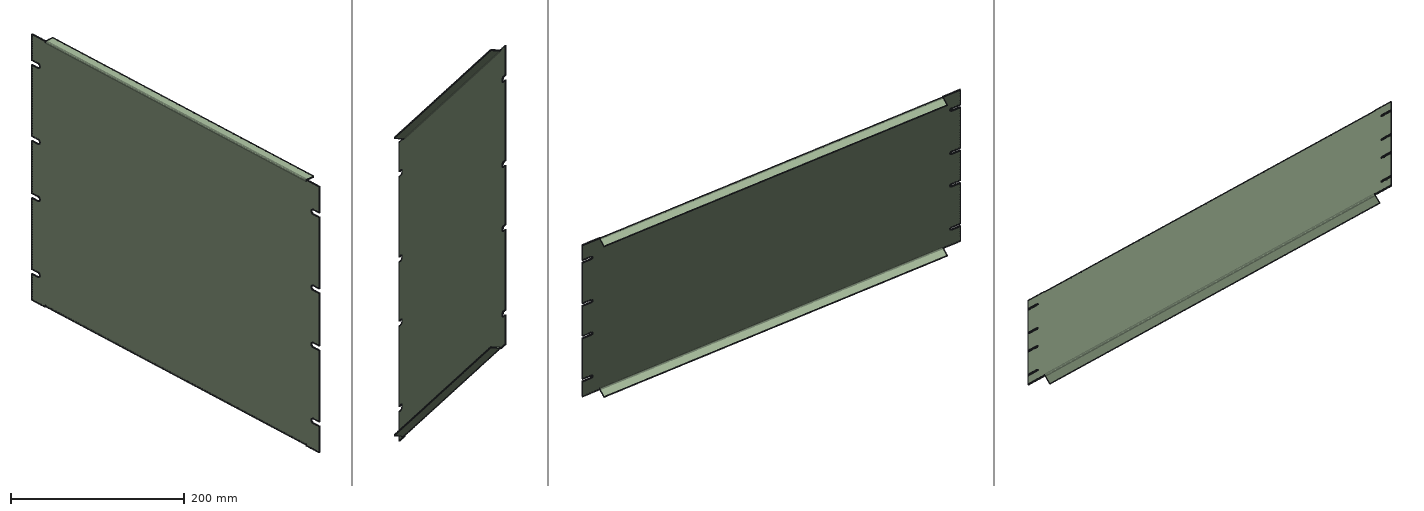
import cadquery as cq

panel_width = 482.5
panel_height = 354.5
sheet_thickness = 1.35

flange_width = 438.0
overall_depth = 12.5
bend_outer_radius = 2.0
bend_inner_radius = bend_outer_radius - sheet_thickness

slot_depth = 13.5
slot_width = 6.5
slot_heights = (38.0, 139.5)

front_y = -overall_depth / 2


def make_bent_body():
    """Channel section: a web with a rounded flange at the top and bottom."""
    outer = (
        cq.Workplane("XY")
        .box(flange_width, overall_depth, panel_height)
        .edges("|X and <Y")
        .fillet(bend_outer_radius)
    )
    inner = (
        cq.Workplane("XY")
        .box(flange_width, overall_depth, panel_height - 2 * sheet_thickness)
        .translate((0, sheet_thickness, 0))
        .edges("|X and <Y")
        .fillet(bend_inner_radius)
    )
    return outer.cut(inner)


def make_end_strip(side):
    """Flat part of the panel beyond the flange ends; side is -1 or 1."""
    strip_width = (panel_width - flange_width) / 2
    strip_centre = side * (flange_width + strip_width) / 2
    strip_y = front_y + sheet_thickness / 2
    strip = cq.Workplane("XY").box(strip_width, sheet_thickness, panel_height)
    return strip.translate((strip_centre, strip_y, 0))


def make_slot(side, height):
    """Cutter for one slot with a round inner end, running out past the edge."""
    edge_x = side * panel_width / 2
    slot_length = 2 * slot_depth
    slot = cq.Workplane("XZ").slot2D(slot_length, slot_width).extrude(overall_depth, both=True)
    return slot.translate((edge_x, 0, height))


result = make_bent_body()
for side in (-1, 1):
    result = result.union(make_end_strip(side))

for side in (-1, 1):
    for distance in slot_heights:
        result = result.cut(make_slot(side, distance))
        result = result.cut(make_slot(side, -distance))